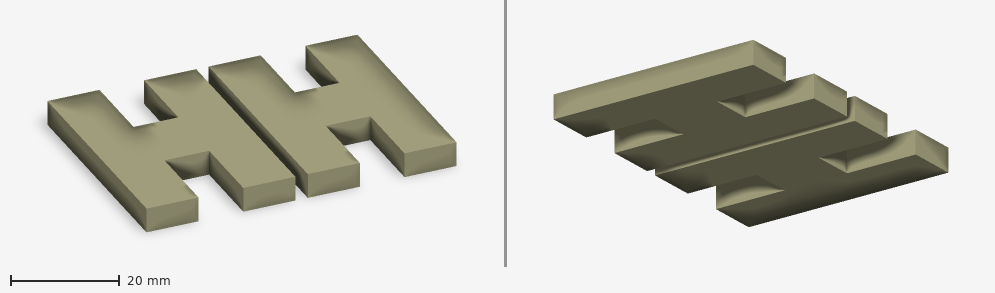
import cadquery as cq

plate_length = 45.0
plate_width = 30.0
plate_thickness = 5.0
plate_gap = 2.5
notch_width = 9.0
web_length = 14.0

notch_depth = (plate_length - web_length) / 2
notch_center_x = (web_length + notch_depth) / 2
plate_offset = (plate_width + plate_gap) / 2


def make_h_plate(center_y):
    """Flat plate with a rectangular notch through the middle of each end."""
    plate = cq.Workplane("XY").box(plate_length, plate_width, plate_thickness)
    notches = (
        cq.Workplane("XY")
        .pushPoints([(-notch_center_x, 0), (notch_center_x, 0)])
        .box(notch_depth, notch_width, plate_thickness)
    )
    return plate.cut(notches).translate((0, center_y, 0))


h_plates = [make_h_plate(center_y) for center_y in (-plate_offset, plate_offset)]

result = cq.Compound.makeCompound([plate.solids().val() for plate in h_plates])